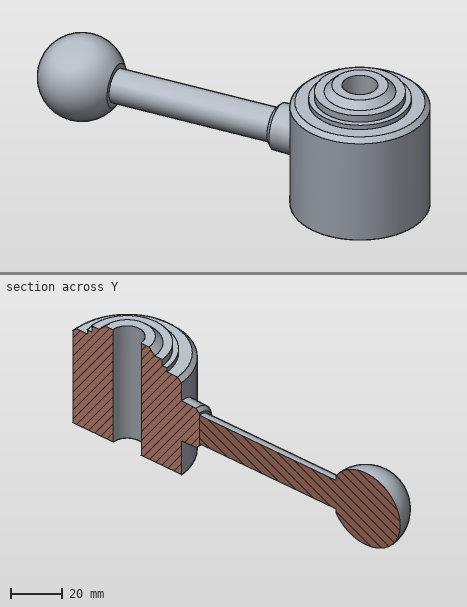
import cadquery as cq

overall_length = 165.0
hub_diameter = 55.0
hub_radius = hub_diameter / 2
hub_height = 46.5
hub_chamfer = 2.0
bore_diameter = 14.0

lower_step_diameter = 40.3
lower_step_height = 2.0
upper_step_diameter = 35.6
upper_step_height = 3.0
nose_base_radius = 14.0
nose_height = 3.0
nose_taper_degrees = 45.0
total_height = hub_height + lower_step_height + upper_step_height + nose_height

handle_axis_height = 26.0
boss_end_x = -36.5
boss_chamfer = 1.6
boss_front_radius = 9.5
boss_root_radius = 9.9
boss_root_x = -hub_radius + boss_chamfer
boss_inner_x = -hub_radius / 2

rod_diameter = 14.0
ball_diameter = 35.0
ball_radius = ball_diameter / 2
ball_center_x = hub_radius - overall_length + ball_radius
ball_flat_distance = 15.0
ball_flat_x = ball_center_x + ball_flat_distance


def revolve_about_handle_axis(outline):
    """Turn an (X, radius) outline about the handle axis."""
    turned = outline.close().revolve(360, (0, 0, 0), (1, 0, 0))
    return turned.translate((0, 0, handle_axis_height))


def make_stepped_hub():
    """Chamfered cylinder with two round steps and a conical nose."""
    body = cq.Workplane("XY").circle(hub_radius).extrude(hub_height)
    body = body.faces(">Z").chamfer(hub_chamfer)
    body = body.faces(">Z").workplane().circle(lower_step_diameter / 2).extrude(lower_step_height)
    body = body.faces(">Z").workplane().circle(upper_step_diameter / 2).extrude(upper_step_height)
    nose = (
        cq.Workplane("XY", origin=(0, 0, total_height - nose_height))
        .circle(nose_base_radius)
        .extrude(nose_height, taper=nose_taper_degrees)
    )
    return body.union(nose)


def make_boss():
    """Slightly tapered boss with a chamfered front, running into the hub wall."""
    outline = (
        cq.Workplane("XZ")
        .moveTo(boss_end_x, 0)
        .lineTo(boss_end_x, boss_front_radius - boss_chamfer)
        .lineTo(boss_end_x + boss_chamfer, boss_front_radius)
        .lineTo(boss_root_x, boss_root_radius)
        .lineTo(boss_inner_x, boss_root_radius)
        .lineTo(boss_inner_x, 0)
    )
    return revolve_about_handle_axis(outline)


def make_hub():
    """Hub and boss in one piece, with a bore through the full height."""
    bore = cq.Workplane("XY").circle(bore_diameter / 2).extrude(total_height)
    return make_stepped_hub().union(make_boss()).cut(bore)


def make_handle():
    """Rod butting on the boss front, with a ball cut flat on the rod side."""
    rod_radius = rod_diameter / 2
    flat_radius = (ball_radius**2 - ball_flat_distance**2) ** 0.5
    outline = (
        cq.Workplane("XZ")
        .moveTo(ball_center_x - ball_radius, 0)
        .threePointArc((ball_center_x, ball_radius), (ball_flat_x, flat_radius))
        .lineTo(ball_flat_x, rod_radius)
        .lineTo(boss_end_x, rod_radius)
        .lineTo(boss_end_x, 0)
    )
    return revolve_about_handle_axis(outline)


hub = make_hub()
handle = make_handle()
result = cq.Compound.makeCompound([hub.solids().val(), handle.val()])